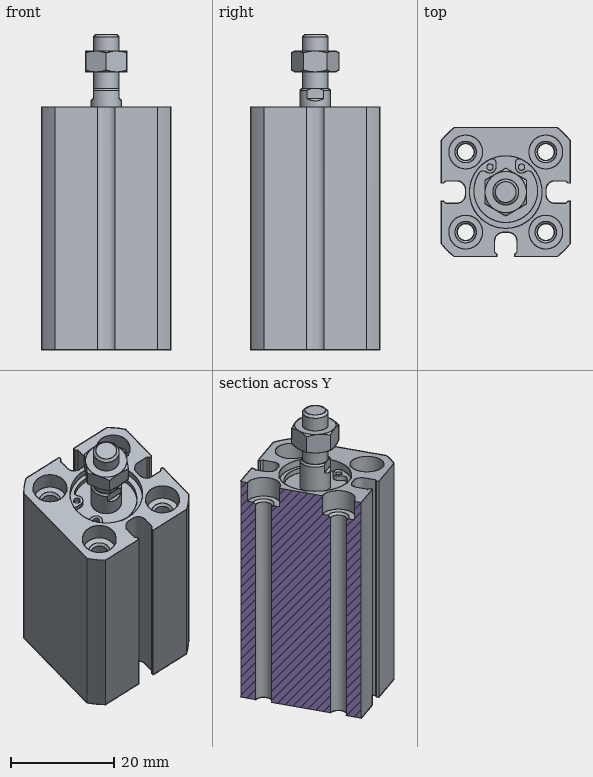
import cadquery as cq
import math

housing_width = 25.0
housing_height = 47.0
corner_circle_diameter = 31.95

slot_width = 4.3
slot_depth = 4.7
slot_corner_radius = 1.65
slot_mouth_width = 3.5
slot_lip_depth = 0.5
slot_side_angles = (0, 180, 270)

mount_pitch = 15.5
mount_hole_diameter = 3.25
mount_countersink_diameter = 4.15
counterbore_diameter = 6.5
counterbore_depth = 4.0

bore_diameter = 14.0
bore_depth = 2.45
ring_thickness = 1.0
ring_inner_diameter = 12.3
ring_inner_offset = 0.275
lug_spacing = 6.1
lug_center_y = 4.8
lug_diameter = 2.3
lug_hole_diameter = 1.2
lug_root_radius = 0.9
lug_tip_radius = 0.75

overall_height = 61.0
rod_diameter = 6.0
rod_top_z = 50.5
rod_chamfer = 0.35
flat_spacing = 5.0
flat_bottom_z = 48.1
stud_diameter = 5.0
stud_tip_diameter = 4.0

nut_across_flats = 8.0
nut_sides = 6
nut_height = 4.0
nut_bottom_z = 53.75
nut_chamfer_angle = 30.0

bore_floor_z = housing_height - bore_depth
half_width = housing_width / 2


def cylinder(diameter, bottom_z, height, center=(0, 0)):
    return cq.Workplane("XY", origin=(*center, bottom_z)).circle(diameter / 2).extrude(height)


def make_slot_cutter():
    """Slot with a narrow mouth, cut into the +X side over the full housing height."""
    floor_x = half_width - slot_depth
    half_slot = slot_width / 2
    half_mouth = slot_mouth_width / 2
    lip_start_x = half_width - slot_lip_depth
    lip_end_x = lip_start_x - (half_slot - half_mouth)
    outline = [
        (floor_x, -half_slot),
        (lip_end_x, -half_slot),
        (lip_start_x, -half_mouth),
        (half_width, -half_mouth),
        (half_width, half_mouth),
        (lip_start_x, half_mouth),
        (lip_end_x, half_slot),
        (floor_x, half_slot),
    ]
    slot = cq.Workplane("XY").polyline(outline).close().extrude(housing_height)
    return slot.edges("|Z and <X").fillet(slot_corner_radius)


def make_mounting_hole_cutter():
    """Through hole with a countersink at the floor of its counterbore."""
    hole_radius = mount_hole_diameter / 2
    countersink_radius = mount_countersink_diameter / 2
    counterbore_radius = counterbore_diameter / 2
    floor_z = housing_height - counterbore_depth
    half_section = [
        (0, 0),
        (hole_radius, 0),
        (hole_radius, floor_z - (countersink_radius - hole_radius)),
        (countersink_radius, floor_z),
        (counterbore_radius, floor_z),
        (counterbore_radius, housing_height),
        (0, housing_height),
    ]
    return cq.Workplane("XZ").polyline(half_section).close().revolve(360, (0, 0), (0, 1))


def make_retaining_ring():
    """Open ring, thinner towards its gap at +Y, with a drilled and rounded lug at each end."""
    bore = cylinder(bore_diameter, bore_floor_z, ring_thickness)
    ring = bore.cut(cylinder(ring_inner_diameter, bore_floor_z, ring_thickness, (0, ring_inner_offset)))
    lug_x = lug_spacing / 2
    lug_radius = lug_diameter / 2
    bore_radius = bore_diameter / 2
    gap_edge_x = lug_x - lug_radius
    gap_edge_y = math.sqrt(bore_radius**2 - gap_edge_x**2)
    middle_z = bore_floor_z + ring_thickness / 2

    gap = cq.Workplane("XY", origin=(0, bore_radius, middle_z))
    ring = ring.cut(gap.box(lug_spacing, bore_diameter, ring_thickness))
    for side in (-1, 1):
        center = (side * lug_x, lug_center_y)
        lug = cylinder(lug_diameter, bore_floor_z, ring_thickness, center)
        stem_center = (side * (gap_edge_x + lug_radius / 2), lug_center_y + lug_radius, middle_z)
        stem = cq.Workplane("XY", origin=stem_center).box(lug_radius, lug_diameter, ring_thickness)
        ring = ring.union(lug.union(stem).intersect(bore))

    for side in (-1, 1):
        root = cq.NearestToPointSelector((side * (lug_x + lug_radius), lug_center_y, middle_z))
        ring = ring.edges("|Z").edges(root).fillet(lug_root_radius)
        tip = cq.NearestToPointSelector((side * gap_edge_x, gap_edge_y, middle_z))
        ring = ring.edges("|Z").edges(tip).fillet(lug_tip_radius)
        center = (side * lug_x, lug_center_y)
        ring = ring.cut(cylinder(lug_hole_diameter, bore_floor_z, ring_thickness, center))
    return ring


def make_housing():
    housing = cq.Workplane("XY").rect(housing_width, housing_width).extrude(housing_height)
    housing = housing.intersect(cylinder(corner_circle_diameter, 0, housing_height))
    slot = make_slot_cutter()
    for angle in slot_side_angles:
        housing = housing.cut(slot.rotate((0, 0, 0), (0, 0, 1), angle))
    mounting_hole = make_mounting_hole_cutter()
    for x_side in (-1, 1):
        for y_side in (-1, 1):
            place = (x_side * mount_pitch / 2, y_side * mount_pitch / 2, 0)
            housing = housing.cut(mounting_hole.translate(place))
    housing = housing.cut(cylinder(bore_diameter, bore_floor_z, bore_depth))
    return housing.union(make_retaining_ring())


def make_flat_cutter():
    """Wrench flat on the +X side of the rod with a 45 degree runout at its lower end."""
    flat_x = flat_spacing / 2
    rod_radius = rod_diameter / 2
    runout = rod_radius - flat_x
    side_outline = [
        (flat_x, flat_bottom_z + runout),
        (rod_radius, flat_bottom_z),
        (rod_radius, rod_top_z),
        (flat_x, rod_top_z),
    ]
    return cq.Workplane("XZ").polyline(side_outline).close().extrude(rod_radius, both=True)


def make_rod():
    rod = cylinder(rod_diameter, bore_floor_z, rod_top_z - bore_floor_z)
    rod = rod.faces(">Z").edges().chamfer(rod_chamfer)
    flat = make_flat_cutter()
    for angle in (0, 180):
        rod = rod.cut(flat.rotate((0, 0, 0), (0, 0, 1), angle))
    stud = cylinder(stud_diameter, rod_top_z, overall_height - rod_top_z)
    stud = stud.faces(">Z").edges().chamfer((stud_diameter - stud_tip_diameter) / 2)
    return rod.union(stud)


def make_nut():
    """Hexagon nut with flats facing +X and -X and conically chamfered corners."""
    across_corners = nut_across_flats / math.cos(math.pi / nut_sides)
    flat_radius = nut_across_flats / 2
    corner_radius = across_corners / 2
    chamfer_drop = (corner_radius - flat_radius) * math.tan(math.radians(nut_chamfer_angle))
    top_z = nut_bottom_z + nut_height
    turned_half_section = [
        (0, nut_bottom_z),
        (flat_radius, nut_bottom_z),
        (corner_radius, nut_bottom_z + chamfer_drop),
        (corner_radius, top_z - chamfer_drop),
        (flat_radius, top_z),
        (0, top_z),
    ]
    turned_blank = cq.Workplane("XZ").polyline(turned_half_section).close().revolve(360, (0, 0), (0, 1))
    hexagon = cq.Workplane("XY", origin=(0, 0, nut_bottom_z)).polygon(nut_sides, across_corners)
    hexagon = hexagon.extrude(nut_height).rotate((0, 0, 0), (0, 0, 1), 180 / nut_sides)
    nut = hexagon.intersect(turned_blank)
    return nut.cut(cylinder(stud_diameter, nut_bottom_z, nut_height))


housing = make_housing()
rod = make_rod()
nut = make_nut()

result = cq.Compound.makeCompound([housing.val(), rod.val(), nut.val()])